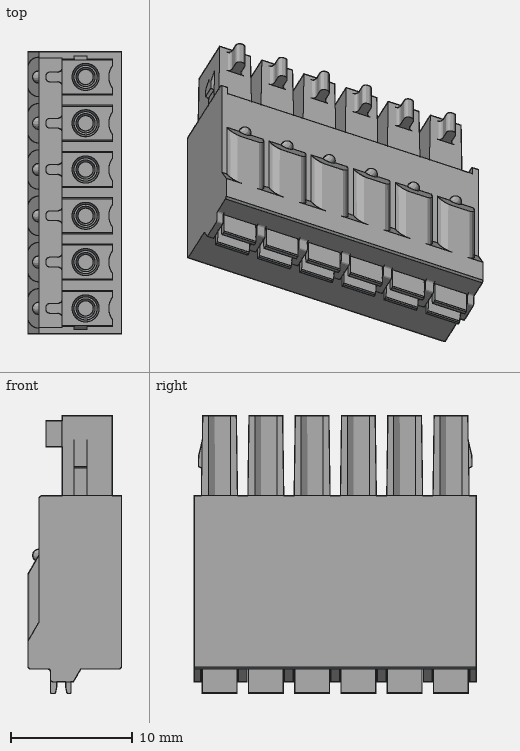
import cadquery as cq
import math


POLE_COUNT = 6
PITCH = 3.81
LENGTH = 23.25
POLES = [(i - (POLE_COUNT - 1) / 2) * PITCH for i in range(POLE_COUNT)]

DEPTH = 7.75
HOUSING_BOTTOM = 2.02
HOUSING_TOP = 16.32
TOTAL_HEIGHT = 22.9
WALL_X = 0.9
SLOPE_ANGLE = 60.0
SLOPE_RISE = WALL_X * math.tan(math.radians(SLOPE_ANGLE))
SKIRT_TOP = 4.3
BOTTOM_CHAMFER = 0.16
TOP_FILLET = 0.3

STEP_FLOOR = 15.41
STEP_END_WALL = 0.53

RIB_WIDTH = 3.25
RIB_TOP = 11.4
BEAD_RADIUS = 0.5

TOWER_FRONT = 2.84
TOWER_BACK = 6.98
TOWER_TOP_WIDTH = 2.8
TOWER_BASE_WIDTH = 2.98
GROOVE_WIDTH = 1.81
GROOVE_DEPTH = 0.3

HOLE_X = 4.77
HOLE_MOUTH_RADIUS = 1.12
HOLE_LEDGE_RADIUS = 0.95
HOLE_LEDGE_DEPTH = 1.02
HOLE_NECK_RADIUS = 0.8
HOLE_FLOOR_RADIUS = 0.63
HOLE_DEPTH = 1.85

KEY_TIP = 1.49
KEY_WIDTH = 0.81
KEY_ROOT_FILLET = 0.35
KEY_NOSE_RADIUS = 0.35
KEY_BOTTOM = 20.32
KEY_TOP = 22.48

LATCH_X = (3.81, 4.88)
LATCH_TOP = 20.88
LATCH_BEND = 19.62
LATCH_NOSE_TOP = 19.15
LATCH_NOSE_BOTTOM = 18.72
LATCH_BOTTOM = 18.58
LATCH_REACH = 1.75
LATCH_BEND_REACH = 1.72
LATCH_STRIP_REACH = TOWER_BASE_WIDTH / 2

FOOT_FRONT = 1.85
FOOT_BACK_BOTTOM = 3.77
FOOT_BACK_TOP = 4.37
FOOT_BOTTOM = 0.98
FOOT_FILLET = 0.2
FOOT_GAP = 0.1

PIN_WIDTH = 2.88
FRONT_BLADE_X = (1.85, 2.4)
BACK_BLADE_X = (3.58, 3.12)
BLADE_TAPER_START = 0.53
BLADE_TAPER = 0.1
BLADE_TIP_CHAMFER = 0.1

OVERLAP = 0.23


def arc_middle(radius):
    """Distance from each side of a square corner to the middle of its rounding arc."""
    return radius * (1 - math.sqrt(0.5))


def prism_y(profile, y_start, y_end):
    """Extrude a closed XZ profile (Workplane 'XZ') from y_start to y_end."""
    return profile.extrude(-(y_end - y_start)).translate((0, y_start, 0))


def block(x, y, z):
    """Box given by its (start, end) range along each axis."""
    size = [end - start for start, end in (x, y, z)]
    return cq.Workplane("XY").box(*size, centered=False).translate((x[0], y[0], z[0]))


def make_housing():
    outline = cq.Workplane("XZ").polyline([
        (BOTTOM_CHAMFER, HOUSING_BOTTOM),
        (DEPTH - BOTTOM_CHAMFER, HOUSING_BOTTOM),
        (DEPTH, HOUSING_BOTTOM + BOTTOM_CHAMFER),
        (DEPTH, HOUSING_TOP),
        (WALL_X, HOUSING_TOP),
        (WALL_X, SKIRT_TOP + SLOPE_RISE),
        (0, SKIRT_TOP),
        (0, HOUSING_BOTTOM + BOTTOM_CHAMFER),
    ]).close()
    housing = prism_y(outline, -LENGTH / 2, LENGTH / 2)
    top_front_edge = cq.selectors.NearestToPointSelector((WALL_X, 0, HOUSING_TOP))
    housing = housing.edges(top_front_edge).fillet(TOP_FILLET)
    step_half = LENGTH / 2 - STEP_END_WALL
    return housing.cut(block((0, TOWER_FRONT), (-step_half, step_half), (STEP_FLOOR, TOTAL_HEIGHT)))


def make_rib(y):
    """Upright rib with rounded front edges and a sloped top."""
    back = WALL_X + OVERLAP
    half = RIB_WIDTH / 2
    bar = block((0, back), (y - half, y + half), (HOUSING_BOTTOM + OVERLAP, RIB_TOP))
    bar = bar.edges("|Z and <X").fillet(WALL_X)
    above_slope = cq.Workplane("XZ").polyline([
        (0, RIB_TOP - SLOPE_RISE),
        (WALL_X, RIB_TOP),
        (0, RIB_TOP),
    ]).close()
    return bar.cut(prism_y(above_slope, y - half, y + half))


def make_bead(x, y, z):
    return cq.Workplane("XY").sphere(BEAD_RADIUS).translate((x, y, z))


def make_tower(y):
    """Tapered tower with a shallow round groove down its back."""
    top = TOWER_TOP_WIDTH / 2
    base = TOWER_BASE_WIDTH / 2
    side = cq.Workplane("YZ").polyline([
        (y - base, STEP_FLOOR - OVERLAP),
        (y + base, STEP_FLOOR - OVERLAP),
        (y + base, HOUSING_TOP),
        (y + top, TOTAL_HEIGHT),
        (y - top, TOTAL_HEIGHT),
        (y - base, HOUSING_TOP),
    ]).close()
    tower = side.extrude(TOWER_BACK - TOWER_FRONT).translate((TOWER_FRONT, 0, 0))
    groove = (
        cq.Workplane("XY", origin=(0, y, HOUSING_TOP))
        .moveTo(TOWER_BACK, -GROOVE_WIDTH / 2)
        .threePointArc((TOWER_BACK - GROOVE_DEPTH, 0), (TOWER_BACK, GROOVE_WIDTH / 2))
        .close()
        .extrude(TOTAL_HEIGHT - HOUSING_TOP)
    )
    return tower.cut(groove)


def make_hole(y):
    """Entry hole: a cone down to a flat ledge, then a narrower cone."""
    ledge_z = TOTAL_HEIGHT - HOLE_LEDGE_DEPTH
    floor_z = TOTAL_HEIGHT - HOLE_DEPTH
    half_section = cq.Workplane("XZ").polyline([
        (0, TOTAL_HEIGHT),
        (HOLE_MOUTH_RADIUS, TOTAL_HEIGHT),
        (HOLE_LEDGE_RADIUS, ledge_z),
        (HOLE_NECK_RADIUS, ledge_z),
        (HOLE_FLOOR_RADIUS, floor_z),
        (0, floor_z),
    ]).close()
    return half_section.revolve(360, (0, 0, 0), (0, 1, 0)).translate((HOLE_X, y, 0))


def make_key(y):
    """Coding key: rounded nose corners, straight flanks, flared root."""
    half = KEY_WIDTH / 2
    fillet = KEY_ROOT_FILLET
    nose = KEY_NOSE_RADIUS
    root = TOWER_FRONT
    mid = arc_middle(fillet)
    nose_mid = arc_middle(nose)
    return (
        cq.Workplane("XY", origin=(0, y, KEY_BOTTOM))
        .moveTo(root, -half - fillet)
        .threePointArc((root - mid, -half - mid), (root - fillet, -half))
        .lineTo(KEY_TIP + nose, -half)
        .threePointArc((KEY_TIP + nose_mid, nose_mid - half), (KEY_TIP, nose - half))
        .lineTo(KEY_TIP, half - nose)
        .threePointArc((KEY_TIP + nose_mid, half - nose_mid), (KEY_TIP + nose, half))
        .lineTo(root - fillet, half)
        .threePointArc((root - mid, half + mid), (root, half + fillet))
        .lineTo(root + OVERLAP, half + fillet)
        .lineTo(root + OVERLAP, -half - fillet)
        .close()
        .extrude(KEY_TOP - KEY_BOTTOM)
    )


def make_latch(y, side):
    """Snap nose above a thin strip, on the side (+1 or -1) of the tower at y."""
    taper = (TOWER_BASE_WIDTH - TOWER_TOP_WIDTH) / 2
    flush = TOWER_TOP_WIDTH / 2 + taper * (TOTAL_HEIGHT - LATCH_TOP) / (TOTAL_HEIGHT - HOUSING_TOP)
    profile = [
        (flush - OVERLAP, HOUSING_TOP - OVERLAP),
        (flush - OVERLAP, LATCH_TOP),
        (flush, LATCH_TOP),
        (LATCH_BEND_REACH, LATCH_BEND),
        (LATCH_REACH, LATCH_NOSE_TOP),
        (LATCH_REACH, LATCH_NOSE_BOTTOM),
        (LATCH_STRIP_REACH, LATCH_BOTTOM),
        (LATCH_STRIP_REACH, HOUSING_TOP - OVERLAP),
    ]
    outline = cq.Workplane("YZ").polyline([(y + side * reach, z) for reach, z in profile]).close()
    return outline.extrude(LATCH_X[1] - LATCH_X[0]).translate((LATCH_X[0], 0, 0))


def make_foot(y_start, y_end):
    """Foot with a sloped back, a flared front root and a rounded front toe."""
    top = HOUSING_BOTTOM
    mid = arc_middle(FOOT_FILLET)
    outline = (
        cq.Workplane("XZ")
        .moveTo(FOOT_FRONT - FOOT_FILLET, top)
        .threePointArc((FOOT_FRONT - mid, top - mid), (FOOT_FRONT, top - FOOT_FILLET))
        .lineTo(FOOT_FRONT, FOOT_BOTTOM + FOOT_FILLET)
        .threePointArc((FOOT_FRONT + mid, FOOT_BOTTOM + mid), (FOOT_FRONT + FOOT_FILLET, FOOT_BOTTOM))
        .lineTo(FOOT_BACK_BOTTOM, FOOT_BOTTOM)
        .lineTo(FOOT_BACK_TOP, top)
        .lineTo(FOOT_BACK_TOP, top + OVERLAP)
        .lineTo(FOOT_FRONT - FOOT_FILLET, top + OVERLAP)
        .close()
    )
    return prism_y(outline, y_start, y_end)


def make_blade(y, outer_x, inner_x):
    """Pin blade whose inner face tapers towards the tip."""
    inward = math.copysign(1, inner_x - outer_x)
    tip_inner_x = inner_x - inward * BLADE_TAPER
    outline = cq.Workplane("XZ").polyline([
        (outer_x, HOUSING_BOTTOM + OVERLAP),
        (outer_x, BLADE_TIP_CHAMFER),
        (outer_x + inward * BLADE_TIP_CHAMFER, 0),
        (tip_inner_x - inward * BLADE_TIP_CHAMFER, 0),
        (tip_inner_x, BLADE_TIP_CHAMFER),
        (inner_x, BLADE_TAPER_START),
        (inner_x, HOUSING_BOTTOM + OVERLAP),
    ]).close()
    return prism_y(outline, y - PIN_WIDTH / 2, y + PIN_WIDTH / 2)


result = make_housing()

for pole_y in POLES:
    result = result.union(make_rib(pole_y))
    result = result.union(make_tower(pole_y))
    result = result.union(make_key(pole_y))
    result = result.union(make_bead(WALL_X, pole_y, RIB_TOP))
    result = result.union(make_bead(TOWER_FRONT, pole_y, STEP_FLOOR))
    result = result.union(make_blade(pole_y, *FRONT_BLADE_X))
    result = result.union(make_blade(pole_y, *BACK_BLADE_X))
    result = result.cut(make_hole(pole_y))

result = result.union(make_latch(POLES[0], -1))
result = result.union(make_latch(POLES[-1], 1))

pin_clearance = PIN_WIDTH / 2 + FOOT_GAP
foot_starts = [-LENGTH / 2] + [pole_y + pin_clearance for pole_y in POLES]
foot_ends = [pole_y - pin_clearance for pole_y in POLES] + [LENGTH / 2]
for foot_start, foot_end in zip(foot_starts, foot_ends):
    result = result.union(make_foot(foot_start, foot_end))